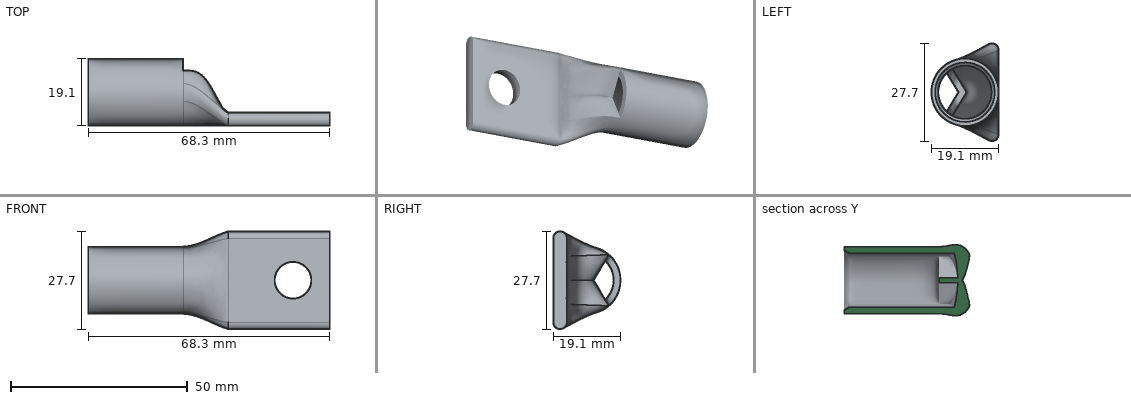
import math

import cadquery as cq

TOTAL_LENGTH = 68.33
BARREL_DIAMETER = 19.05
TANG_WIDTH = 27.69
TANG_THICKNESS = 3.81
BARREL_LENGTH = 26.85
NECK_LENGTH = 12.75

WALL = 2.0
MOUTH_CHAMFER_WIDTH = 0.9
MOUTH_CHAMFER_DEPTH = 1.5

HOLE_DIAMETER = 10.3
HOLE_TO_END = 10.4

V_APEX_Y = 1.87
V_FLANK_ANGLE = math.radians(59)
SIDE_HALF_ANGLE = math.radians(15.3)

DOME_DEPTH = 6.0

NECK_STATIONS = 8
FRONT_END_SLOPE = 0.9
BACK_DELAY = 1.75
CORNER_END_Z = 6.8

BARREL_RADIUS = BARREL_DIAMETER / 2
BORE_RADIUS = BARREL_RADIUS - WALL
TANG_START = BARREL_LENGTH + NECK_LENGTH
TANG_LENGTH = TOTAL_LENGTH - TANG_START
TANG_FRONT_Y = -BARREL_RADIUS
TANG_MID_Y = TANG_FRONT_Y + TANG_THICKNESS / 2
TANG_FLAT_HALF_WIDTH = (TANG_WIDTH - TANG_THICKNESS) / 2
DOME_RADIUS = 2 * BORE_RADIUS
CAVITY_APEX_Y = V_APEX_Y - WALL / math.sin(V_FLANK_ANGLE)


def front_blend(t):
    """Cubic from 0 to 1: level at the barrel, still sloping at the tang."""
    return (3 - FRONT_END_SLOPE) * t**2 - (2 - FRONT_END_SLOPE) * t**3


def back_blend(t):
    """S-curve from 0 to 1 that keeps the back full for longer than the front."""
    u = t**BACK_DELAY
    return 3 * u**2 - 2 * u**3


def middle_blend(t):
    """Mean of the front and back curves, for the middle of the side arcs."""
    return (front_blend(t) + back_blend(t)) / 2


def round_points(radius, apex_y):
    """Upper half (Y, Z) points of the V-backed section, from the apex round to the front."""
    corner = V_FLANK_ANGLE - math.asin(apex_y * math.sin(V_FLANK_ANGLE) / radius)
    side_back = math.pi / 2 - SIDE_HALF_ANGLE
    side_front = math.pi / 2 + SIDE_HALF_ANGLE
    angles = [corner, (corner + side_back) / 2, side_back, math.pi / 2, side_front, math.pi]
    return [(apex_y, 0)] + [(radius * math.cos(a), radius * math.sin(a)) for a in angles]


def flat_points(thickness):
    """Upper half (Y, Z) points of a full-round flat section, in the same order."""
    radius = thickness / 2
    back_y = TANG_MID_Y + radius
    front_y = TANG_MID_Y - radius
    return [
        (back_y, 0),
        (back_y, CORNER_END_Z),
        (back_y, (CORNER_END_Z + TANG_FLAT_HALF_WIDTH) / 2),
        (back_y, TANG_FLAT_HALF_WIDTH),
        (TANG_MID_Y, TANG_FLAT_HALF_WIDTH + radius),
        (front_y, TANG_FLAT_HALF_WIDTH),
        (front_y, 0),
    ]


def arc_or_line(start, middle, end):
    """Arc through three points, or a line when they all share one Y."""
    if math.isclose(start.y, middle.y):
        return cq.Edge.makeLine(start, end)
    return cq.Edge.makeThreePointArc(start, middle, end)


def section_wire(x, half):
    """Closed wire at one X from its upper half points: flanks, side arcs and front arc."""
    upper = [cq.Vector(x, y, z) for y, z in half]
    lower = [cq.Vector(x, y, -z) for y, z in half]
    edges = [
        cq.Edge.makeLine(upper[0], upper[1]),
        arc_or_line(*upper[1:4]),
        arc_or_line(*upper[3:6]),
        arc_or_line(upper[5], upper[6], lower[5]),
        arc_or_line(*reversed(lower[3:6])),
        arc_or_line(*reversed(lower[1:4])),
        cq.Edge.makeLine(lower[1], lower[0]),
    ]
    return cq.Wire.assembleEdges(edges)


def neck_body():
    """Solid loft from the V-backed section to the tang section, each point on its own blend."""
    start = round_points(BARREL_RADIUS, V_APEX_Y)
    end = flat_points(TANG_THICKNESS)
    blends = [back_blend, back_blend, middle_blend] + [front_blend] * 4
    wires = []
    for station in range(NECK_STATIONS + 1):
        t = station / NECK_STATIONS
        half = []
        for (y0, z0), (y1, z1), blend in zip(start, end, blends):
            s = blend(t)
            half.append((y0 + (y1 - y0) * s, z0 + (z1 - z0) * s))
        wires.append(section_wire(BARREL_LENGTH + NECK_LENGTH * t, half))
    return cq.Workplane(cq.Solid.makeLoft(wires))


def neck_cavity():
    """Blind end of the bore: the V-backed bore section ending on a half ellipsoid."""
    dome = (
        cq.Workplane("XY", origin=(BARREL_LENGTH, -BORE_RADIUS, 0))
        .lineTo(0, DOME_RADIUS)
        .ellipseArc(DOME_DEPTH, DOME_RADIUS, 0, 90, startAtCurrent=True, sense=-1)
        .close()
        .revolve(360, (0, 0, 0), (1, 0, 0))
    )
    wire = section_wire(BARREL_LENGTH, round_points(BORE_RADIUS, CAVITY_APEX_Y))
    channel = cq.Solid.extrudeLinear(wire, [], cq.Vector(NECK_LENGTH, 0, 0))
    return dome.intersect(cq.Workplane(channel))


def barrel():
    """Tube with a lead-in chamfer inside its mouth."""
    mouth_radius = BORE_RADIUS + MOUTH_CHAMFER_WIDTH
    profile = [
        (0, mouth_radius),
        (0, BARREL_RADIUS),
        (BARREL_LENGTH, BARREL_RADIUS),
        (BARREL_LENGTH, BORE_RADIUS),
        (MOUTH_CHAMFER_DEPTH, BORE_RADIUS),
    ]
    return cq.Workplane("XY").polyline(profile).close().revolve(360, (0, 0, 0), (1, 0, 0))


def tang():
    """Flat tongue with full-round long edges and one bolt hole."""
    wire = section_wire(TANG_START, flat_points(TANG_THICKNESS))
    body = cq.Workplane(cq.Solid.extrudeLinear(wire, [], cq.Vector(TANG_LENGTH, 0, 0)))
    hole = (
        cq.Workplane("XZ", origin=(TOTAL_LENGTH - HOLE_TO_END, TANG_MID_Y, 0))
        .circle(HOLE_DIAMETER / 2)
        .extrude(TANG_THICKNESS, both=True)
    )
    return body.cut(hole)


result = barrel().union(neck_body().cut(neck_cavity())).union(tang())